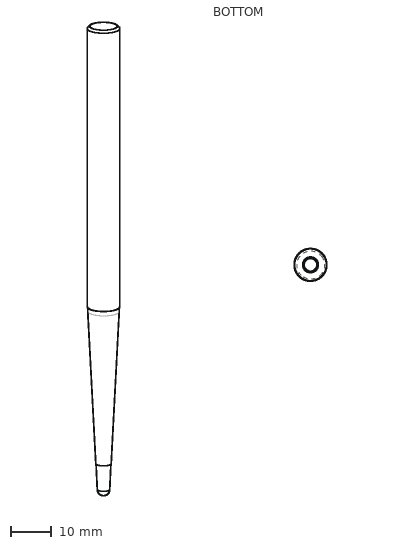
import cadquery as cq
import math

total_length = 120.0
shank_diameter = 8.0
shank_chamfer = 0.6
shank_start = 48.3

collar_diameter = 7.8
collar_start = 47.2

cone_start = 8.2
cone_end_diameter = 3.8

neck_top_diameter = 3.7
ball_diameter = 3.1
ball_radius = ball_diameter / 2


def revolved(outline):
    """Revolve a closed radius-height outline around the tool axis."""
    full_turn = 360
    return outline.close().revolve(full_turn, (0, 0, 0), (0, 1, 0))


def make_holder():
    """Shank, collar, cone and neck, down to the flat joint with the ball tip."""
    shank_radius = shank_diameter / 2
    collar_radius = collar_diameter / 2
    outline = (
        cq.Workplane("XZ")
        .moveTo(0, ball_radius)
        .lineTo(ball_radius, ball_radius)
        .lineTo(neck_top_diameter / 2, cone_start)
        .lineTo(cone_end_diameter / 2, cone_start)
        .lineTo(collar_radius, collar_start)
        .lineTo(collar_radius, shank_start)
        .lineTo(shank_radius, shank_start)
        .lineTo(shank_radius, total_length - shank_chamfer)
        .lineTo(shank_radius - shank_chamfer, total_length)
        .lineTo(0, total_length)
    )
    return revolved(outline)


def make_ball_tip():
    """Half ball with its pole at the origin and its flat side up."""
    arc_middle = ball_radius * math.sin(math.radians(45))
    outline = (
        cq.Workplane("XZ")
        .moveTo(0, 0)
        .threePointArc((arc_middle, ball_radius - arc_middle), (ball_radius, ball_radius))
        .lineTo(0, ball_radius)
    )
    return revolved(outline)


holder = make_holder()
ball_tip = make_ball_tip()

result = cq.Compound.makeCompound([holder.val(), ball_tip.val()])